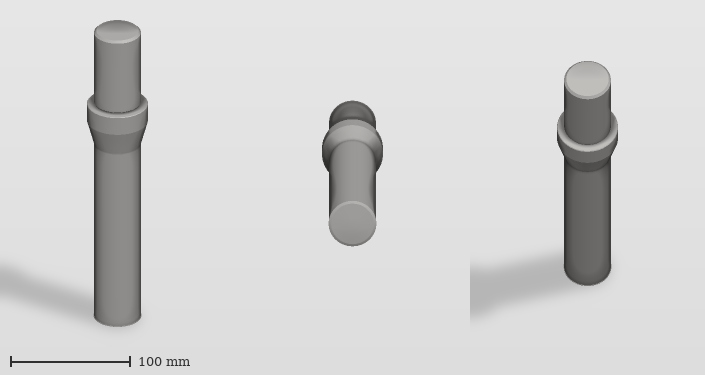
import cadquery as cq

total_length = 273.5
collar_diameter = 51.0
shaft_diameter = 39.0

tip_height = 0.8
rim_bottom = 1.6
rim_top = 2.2
head_top = 6.8
cone_bottom = 166.3
collar_bottom = 188.0
collar_top = 204.3
neck_height = 1.6

rim_diameter = 40.0
face_diameter = 35.5
neck_diameter = 37.5
top_chamfer = 2.0
collar_chamfer = 0.5
cone_fillet = 3.3

collar_radius = collar_diameter / 2
shaft_radius = shaft_diameter / 2
rim_radius = rim_diameter / 2
neck_radius = neck_diameter / 2
neck_top = collar_top + neck_height


def revolve_about_z(profile_points):
    """Turn a closed (radius, height) profile about the Z axis."""
    profile = cq.Workplane("XZ").polyline(profile_points).close()
    return profile.revolve(360, (0, 0, 0), (0, 1, 0))


def make_holder():
    """Round shaft with a tapered collar, a necked shank and a chamfered top."""
    blank = revolve_about_z([
        (0, head_top),
        (shaft_radius, head_top),
        (shaft_radius, cone_bottom),
        (collar_radius, collar_bottom),
        (collar_radius, collar_top - collar_chamfer),
        (collar_radius - collar_chamfer, collar_top),
        (neck_radius, collar_top),
        (neck_radius, neck_top - (shaft_radius - neck_radius)),
        (shaft_radius, neck_top),
        (shaft_radius, total_length - top_chamfer),
        (shaft_radius - top_chamfer, total_length),
        (0, total_length),
    ])
    corner = cq.selectors.BoxSelector(
        (-collar_radius, -collar_radius, cone_bottom - cone_fillet),
        (collar_radius, collar_radius, cone_bottom + cone_fillet),
        boundingbox=True,
    )
    return blank.edges(corner).fillet(cone_fillet)


def make_end_head():
    """Short head below the shaft, with a thin wider rim and a shallow pointed end."""
    return revolve_about_z([
        (0, 0),
        (face_diameter / 2, tip_height),
        (rim_radius, rim_bottom),
        (rim_radius, rim_top),
        (shaft_radius, rim_top),
        (shaft_radius, head_top),
        (0, head_top),
    ])


holder = make_holder()
end_head = make_end_head()

result = cq.Compound.makeCompound([holder.val(), end_head.val()])